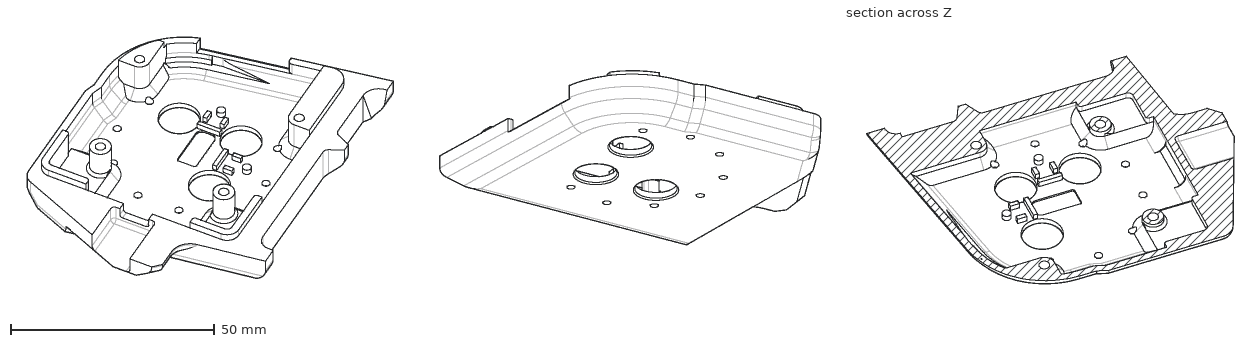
import cadquery as cq
import math

RIM_Z = 10.0
TOP_Z = 12.0
FLOOR_Z = 2.0
SHELF_Z = 4.35
OVER = 5.0

LEFT_X = -29.9
JOG_DEPTH = 0.95
JOG_TOP_Y = 2.4
JOG_BOTTOM_Y = -0.4
RIGHT_X = 36.1
BACK_Y = 37.0
BACK_SLOPE = math.tan(math.radians(9.6))
CORNER_R = 22.6
LEFT_CORNER_Y = -33.45
LEFT_CORNER_R = 3.5
FRONT_RIGHT_Y = -32.2
FRONT_SLOPE = math.tan(math.radians(8.3))
SLANT_SLOPE = -math.tan(math.radians(22.9))
WALL = 2.0

BEVEL = 5.0
BEVEL_BLEND_R = 3.9
FRONT_BEVEL = 3.0
FRONT_BLEND_R = 3.6
SLANT_FILLET_R = 4.0

TAIL_FRONT_Y = -46.67
TAIL_RIGHT_X = 14.05
TAIL_CORNER = 2.0
TAIL_BOTTOM_Z = 3.0
TAIL_BEVEL = 2.0
TAIL_NECK_R = 5.0

RECESS_X = 31.7
TOOTH_TOP_Y = 12.6
TOOTH_BOTTOM_Y = 10.6
TOOTH_ROOT_HALF = 3.2
TOOTH_ROOT_R = 1.5
FOOT_Y = -28.0
FOOT_R = 3.0
HEAD_Y = 33.5
HEAD_R = 4.3
HEAD_LOWER_R = 1.0

CAVITY_RIGHT_X = 26.2
CAVITY_FRONT_Y = -30.5
CAVITY_CORNER_R = 3.2
CAVITY_BACK_R = 4.0
SIDE_BEVEL = 3.8
SIDE_BLEND_R = 1.8
INNER_R = 3.0

POST_X = 17.05
POST_Y = -17.45
POST_D = 5.4
POST_FOOT = 0.75
PILLAR_X = 22.05
PILLAR_Y = 13.55
BOSS_R = 2.7
SCREW_D = 2.5
SCREW_DEPTH = 9.0
RIDGE_W = 1.9
RIDGE_END_R = 0.8
LEFT_PILLAR_END_Y = 21.5
RIDGE_LEFT_END_Y = -16.6

BIG_HOLE_D = 10.4
BIG_HOLE_CHAMFER = 0.4
BIG_HOLE_POS = 8.54
SMALL_HOLE_D = 2.0
SMALL_HOLES = [(17.7, 10.36), (20.55, -1.5), (16.05, -12.4), (5.65, -19.45)]
PIN_D = 2.2
PIN_OFFSET = 14.5
RIB_H = 1.5
RIB_W = 1.1
BAR_L = 6.3
BACK_BAR_POS = 8.1
RIGHT_BAR_POS = 7.2
BAR_TO_RIB = 2.25
SHORT_RIB_X = 2.4
SHORT_RIB_L = 2.4
RECESS_W = 5.2
RECESS_Y0 = -4.5
RECESS_Y1 = 7.5
RECESS_BACK_R = 1.8
RECESS_FRONT_R = 0.6
RECESS_DEPTH = 0.5

NOTCH_X0 = -12.9
NOTCH_X1 = 10.1
NOTCH_INNER_Y = 25.5
NOTCH_Z = 6.6
NOTCH_EDGE_W = 0.7
NOTCH_EDGE_DROP = 0.4
NOTCH_END_R = 1.0
POCKET_BACK_Y = 27.8
POCKET_INSET = 2.4
POCKET_STRAIGHT_X = -9.0
LEDGE_Z = 3.65

OUTLET_Z = 5.1
OUTLET_R = 1.0
POCKET_HALF_W = 6.0
WINDOW_HALF_W = 4.0
WINDOW_Z = 7.1
WINDOW_R = 0.75
CHANNEL_HALF_W = 6.4
CHANNEL_BEVEL = 1.5


def back_y(x, inset=0.0):
    """Y of the sloping back wall at a given X, moved inward by inset."""
    lowered = inset * math.hypot(1, BACK_SLOPE)
    return BACK_Y - (RIGHT_X - x) * BACK_SLOPE - lowered


def front_y(x):
    """Y of the sloping front edge of the main body at a given X."""
    return FRONT_RIGHT_Y - (RIGHT_X - x) * FRONT_SLOPE


def slant_y(x):
    """Y of the slanting front-left wall at a given X."""
    return LEFT_CORNER_Y + (x - LEFT_X) * SLANT_SLOPE


slant_end_x = (slant_y(0) - front_y(0)) / (FRONT_SLOPE - SLANT_SLOPE)
slant_end = (slant_end_x, front_y(slant_end_x))


def corner_center():
    """Center of the large back-left corner arc, which is tangent to both walls."""
    x = LEFT_X + JOG_DEPTH + CORNER_R
    return x, back_y(x, CORNER_R)


def corner_arc(inset):
    """Start, middle and end of the large back-left corner arc, moved inward by inset."""
    radius = CORNER_R - inset
    center_x, center_y = corner_center()
    end_angle = math.pi / 2 + math.atan(BACK_SLOPE)
    angles = (end_angle, (end_angle + math.pi) / 2, math.pi)
    return [(center_x + radius * math.cos(a), center_y + radius * math.sin(a)) for a in angles]


def left_side(sketch, inset):
    """Continue an outline over the corner arc and the jog in the left wall."""
    start, middle, end = corner_arc(inset)
    return (
        sketch.lineTo(*start)
        .threePointArc(middle, end)
        .lineTo(LEFT_X + JOG_DEPTH + inset, JOG_TOP_Y)
        .lineTo(LEFT_X + inset, JOG_BOTTOM_Y)
    )


def side_points(inset, z):
    """One point on each back and left edge of an outline that is moved inward by inset."""
    jog_x = LEFT_X + JOG_DEPTH / 2
    jog_y = (JOG_TOP_Y + JOG_BOTTOM_Y) / 2
    straight_y = (JOG_TOP_Y + corner_arc(inset)[2][1]) / 2
    return [
        (0, back_y(0, inset), z),
        (*corner_arc(inset)[1], z),
        (LEFT_X + JOG_DEPTH + inset, straight_y, z),
        (jog_x + inset, jog_y, z),
        (LEFT_X + inset, LEFT_CORNER_Y / 2, z),
    ]


def prism(points, z0, z1):
    """Upright prism over a closed polygon."""
    return cq.Workplane("XY").workplane(offset=z0).polyline(points).close().extrude(z1 - z0)


def block(x0, x1, y0, y1, z0, z1):
    """Box between the given limits."""
    return prism([(x0, y0), (x1, y0), (x1, y1), (x0, y1)], z0, z1)


def cylinder(x, y, diameter, z0, z1):
    """Upright cylinder."""
    return cq.Workplane("XY").workplane(offset=z0).center(x, y).circle(diameter / 2).extrude(z1 - z0)


def edges_near(solid, points):
    """For each given point, the edge of the solid that lies nearest to it."""
    picked = []
    for point in points:
        vertex = cq.Vertex.makeVertex(*point)
        picked.append(min(solid.edges().vals(), key=lambda edge: edge.distance(vertex)))
    return solid.newObject(picked)


def along_wall(profile, anchor, slope):
    """Long prism along a sloping wall; the profile (across, up) has its origin at the anchor point."""
    length = 2 * (RIGHT_X - LEFT_X)
    return (
        profile.extrude(length, both=True)
        .rotate((0, 0, 0), (0, 0, 1), math.degrees(math.atan(slope)))
        .translate((*anchor, 0))
    )


def front_bevel_cutter():
    """Prism that bevels the lower front edge of the main body along its sloping line."""
    profile = (
        cq.Workplane("YZ")
        .moveTo(FRONT_BEVEL + OVER, -OVER)
        .lineTo(-OVER, FRONT_BEVEL + OVER)
        .lineTo(-OVER, -OVER)
        .close()
    )
    return along_wall(profile, (RIGHT_X, FRONT_RIGHT_Y), FRONT_SLOPE)


def slant_fillet_cutter():
    """Prism that rounds the lower edge of the slanting front-left wall."""
    radius = SLANT_FILLET_R
    on_arc = radius * (1 - math.sin(math.pi / 4))
    profile = (
        cq.Workplane("YZ")
        .moveTo(radius, 0)
        .threePointArc((on_arc, on_arc), (0, radius))
        .lineTo(-OVER, radius)
        .lineTo(-OVER, -OVER)
        .lineTo(radius, -OVER)
        .close()
    )
    return along_wall(profile, (LEFT_X, LEFT_CORNER_Y), SLANT_SLOPE)


def main_body():
    """Solid block of the case with bevelled and blended lower edges."""
    body = (
        left_side(cq.Workplane("XY").moveTo(RIGHT_X, BACK_Y), 0)
        .lineTo(LEFT_X, LEFT_CORNER_Y)
        .lineTo(*slant_end)
        .lineTo(RIGHT_X, FRONT_RIGHT_Y)
        .close()
        .extrude(RIM_Z)
    )
    middle_x = (LEFT_X + RIGHT_X) / 2
    right_edge = (RIGHT_X, 0, 0)
    right_inner = (RIGHT_X - BEVEL, 0, 0)
    right_upper = (RIGHT_X, 0, BEVEL)
    body = edges_near(body, [right_edge] + side_points(0, 0)).chamfer(BEVEL)
    body = edges_near(body, [right_inner] + side_points(BEVEL, 0)).fillet(BEVEL_BLEND_R)
    body = edges_near(body, [right_upper] + side_points(0, BEVEL)).fillet(BEVEL_BLEND_R)
    half = BEVEL / 2
    body = edges_near(
        body,
        [
            (LEFT_X, LEFT_CORNER_Y, (BEVEL + RIM_Z) / 2),
            (LEFT_X + half, slant_y(LEFT_X + half), half),
        ],
    ).fillet(LEFT_CORNER_R)
    body = body.cut(slant_fillet_cutter())
    body = body.cut(front_bevel_cutter())
    front_edge = [(middle_x, front_y(middle_x), FRONT_BEVEL)]
    return edges_near(body, front_edge).fillet(FRONT_BLEND_R)


def tail():
    """Tongue that carries the cable outlet at the front."""
    flat_start_x = LEFT_X + (TAIL_FRONT_Y - LEFT_CORNER_Y) / SLANT_SLOPE
    inner_y = slant_end[1] + 2 * OVER
    neck_end_x = TAIL_RIGHT_X + TAIL_NECK_R * (1 - FRONT_SLOPE)
    neck_end_y = front_y(neck_end_x)
    neck_start_y = neck_end_y - TAIL_NECK_R
    neck_mid = (
        TAIL_RIGHT_X + TAIL_NECK_R * (1 - math.cos(math.pi / 4)),
        neck_start_y + TAIL_NECK_R * math.sin(math.pi / 4),
    )
    solid = (
        cq.Workplane("XY")
        .workplane(offset=TAIL_BOTTOM_Z)
        .moveTo(slant_end_x, inner_y)
        .lineTo(*slant_end)
        .lineTo(flat_start_x, TAIL_FRONT_Y)
        .lineTo(TAIL_RIGHT_X - TAIL_CORNER, TAIL_FRONT_Y)
        .lineTo(TAIL_RIGHT_X, TAIL_FRONT_Y + TAIL_CORNER)
        .lineTo(TAIL_RIGHT_X, neck_start_y)
        .threePointArc(neck_mid, (neck_end_x, neck_end_y))
        .lineTo(neck_end_x, inner_y)
        .close()
        .extrude(RIM_Z - TAIL_BOTTOM_Z)
    )
    slant_x = (slant_end_x + flat_start_x) / 2
    corner = TAIL_CORNER / 2
    right_middle_y = (TAIL_FRONT_Y + neck_start_y) / 2
    right_edges = [
        (TAIL_RIGHT_X - corner, TAIL_FRONT_Y + corner, TAIL_BOTTOM_Z),
        (TAIL_RIGHT_X, right_middle_y, TAIL_BOTTOM_Z),
        (*neck_mid, TAIL_BOTTOM_Z),
    ]
    front_edges = [
        (slant_x, slant_y(slant_x), TAIL_BOTTOM_Z),
        ((flat_start_x + TAIL_RIGHT_X) / 2 - BEVEL, TAIL_FRONT_Y, TAIL_BOTTOM_Z),
    ]
    upper_z = TAIL_BOTTOM_Z + BEVEL
    upper_edges = [(x, y, upper_z) for x, y, _ in right_edges]
    solid = edges_near(solid, right_edges).chamfer(BEVEL)
    solid = edges_near(solid, upper_edges).fillet(BEVEL_BLEND_R)
    return edges_near(solid, front_edges).chamfer(TAIL_BEVEL)


def side_recesses():
    """Cutters for the two recesses of the right side, above and below the pointed tooth."""
    outside = RIGHT_X + OVER
    middle_y = (TOOTH_TOP_Y + TOOTH_BOTTOM_Y) / 2
    diagonal = math.sin(math.pi / 4)
    foot_center_x = RECESS_X + FOOT_R
    lower = (
        cq.Workplane("XY")
        .moveTo(outside, FOOT_Y)
        .lineTo(foot_center_x, FOOT_Y)
        .threePointArc(
            (foot_center_x - FOOT_R * diagonal, FOOT_Y + FOOT_R * (1 - diagonal)),
            (RECESS_X, FOOT_Y + FOOT_R),
        )
        .lineTo(RECESS_X, middle_y - TOOTH_ROOT_HALF)
        .lineTo(RIGHT_X, TOOTH_BOTTOM_Y)
        .lineTo(outside, TOOTH_BOTTOM_Y)
        .close()
        .extrude(RIM_Z)
    )
    head_center_y = HEAD_Y - HEAD_R
    upper = (
        cq.Workplane("XY")
        .moveTo(outside, TOOTH_TOP_Y)
        .lineTo(RIGHT_X, TOOTH_TOP_Y)
        .lineTo(RECESS_X, middle_y + TOOTH_ROOT_HALF)
        .lineTo(RECESS_X, head_center_y)
        .lineTo(outside, head_center_y)
        .close()
        .extrude(RIM_Z)
    )
    roots = [(RECESS_X, middle_y + side * TOOTH_ROOT_HALF, RIM_Z / 2) for side in (-1, 1)]
    lower = edges_near(lower, roots[:1]).fillet(TOOTH_ROOT_R)
    upper = edges_near(upper, roots[1:]).fillet(TOOTH_ROOT_R)
    head_cone = cq.Solid.makeCone(
        HEAD_LOWER_R, HEAD_R, RIM_Z, pnt=cq.Vector(RECESS_X + HEAD_R, head_center_y, 0)
    )
    return lower.union(upper).union(cq.Workplane(head_cone))


def cavity_prism():
    """Straight-walled, sharp-cornered shape of the cavity, reaching above the part."""
    back_right = (CAVITY_RIGHT_X, back_y(CAVITY_RIGHT_X, WALL))
    return (
        left_side(cq.Workplane("XY").workplane(offset=FLOOR_Z).moveTo(*back_right), WALL)
        .lineTo(LEFT_X + WALL, CAVITY_FRONT_Y)
        .lineTo(CAVITY_RIGHT_X, CAVITY_FRONT_Y)
        .close()
        .extrude(TOP_Z + OVER - FLOOR_Z)
    )


def cavity_walls():
    """Straight-walled shape of the cavity with rounded corners."""
    front_corners = [(LEFT_X + WALL, CAVITY_FRONT_Y, RIM_Z), (CAVITY_RIGHT_X, CAVITY_FRONT_Y, RIM_Z)]
    back_corner = [(CAVITY_RIGHT_X, back_y(CAVITY_RIGHT_X, WALL), RIM_Z)]
    solid = edges_near(cavity_prism(), front_corners).fillet(CAVITY_CORNER_R)
    return edges_near(solid, back_corner).fillet(CAVITY_BACK_R)


def cavity():
    """Cavity with bevelled lower edges and rounded corners."""
    solid = cavity_prism()
    solid = edges_near(solid, side_points(WALL, FLOOR_Z)).chamfer(SIDE_BEVEL)
    solid = edges_near(solid, [(0, CAVITY_FRONT_Y, FLOOR_Z)]).fillet(INNER_R)
    solid = edges_near(solid, [(CAVITY_RIGHT_X, 0, FLOOR_Z)]).fillet(INNER_R)
    solid = edges_near(solid, side_points(WALL + SIDE_BEVEL, FLOOR_Z)).fillet(SIDE_BLEND_R)
    solid = edges_near(solid, side_points(WALL, FLOOR_Z + SIDE_BEVEL)).fillet(SIDE_BLEND_R)
    return solid.intersect(cavity_walls())


def flared_corner(x_range, y_range, corner, top_z):
    """Upright block with one rounded corner and a 45 degree flare down to the floor."""
    flare = SHELF_Z - FLOOR_Z
    x0, x1 = x_range
    y0, y1 = y_range
    upright = block(x0, x1, y0, y1, FLOOR_Z, top_z)
    upright = edges_near(upright, [(*corner, (FLOOR_Z + top_z) / 2)]).fillet(BOSS_R)
    foot = block(x0 - flare, x1 + flare, y0 - flare, y1 + flare, FLOOR_Z - OVER, SHELF_Z)
    corner_x = corner[0] + math.copysign(flare, corner[0] - (x0 + x1) / 2)
    corner_y = corner[1] + math.copysign(flare, corner[1] - (y0 + y1) / 2)
    foot = edges_near(foot, [(corner_x, corner_y, FLOOR_Z)]).fillet(BOSS_R + flare)
    foot = foot.faces(">Z").chamfer(flare)
    return upright.union(foot)


def post(x):
    """Screw post with a conical foot on a corner shelf."""
    radius = POST_D / 2
    foot = cq.Solid.makeCone(radius + POST_FOOT, radius, POST_FOOT, pnt=cq.Vector(x, POST_Y, SHELF_Z))
    edge_x = math.copysign(POST_X - BOSS_R, x)
    x0, x1 = sorted((edge_x, edge_x + math.copysign(2 * POST_D, x)))
    shelf_area = block(x0, x1, POST_Y - 2 * POST_D, POST_Y + BOSS_R, SHELF_Z, TOP_Z)
    shelf_area = edges_near(shelf_area, [(edge_x, POST_Y + BOSS_R, (SHELF_Z + TOP_Z) / 2)]).fillet(BOSS_R)
    trimmed_foot = cq.Workplane(foot).intersect(shelf_area)
    return cylinder(x, POST_Y, POST_D, FLOOR_Z, TOP_Z).union(trimmed_foot)


def ridge(wall_x, side, end_y):
    """L-shaped ridge along a front corner of the cavity; side is -1 on the left, 1 on the right."""
    end_x = side * (POST_X - BOSS_R)
    x0, x1 = sorted((wall_x, end_x))
    outer = block(x0, x1, CAVITY_FRONT_Y, end_y, FLOOR_Z, TOP_Z)
    inner_x = sorted((wall_x - side * RIDGE_W, end_x - side * OVER))
    inner = block(*inner_x, CAVITY_FRONT_Y + RIDGE_W, end_y + OVER, FLOOR_Z, TOP_Z)
    middle_z = (FLOOR_Z + TOP_Z) / 2
    inner_corner = (wall_x - side * RIDGE_W, CAVITY_FRONT_Y + RIDGE_W, middle_z)
    inner = edges_near(inner, [inner_corner]).fillet(CAVITY_CORNER_R - RIDGE_W)
    ends = [
        (wall_x - side * RIDGE_W, end_y, middle_z),
        (end_x, CAVITY_FRONT_Y + RIDGE_W, middle_z),
    ]
    return edges_near(outer.cut(inner), ends).fillet(RIDGE_END_R)


def cavity_fittings():
    """Shelves, posts, pillars and ridges that stand in the cavity, trimmed by its walls."""
    far_left = LEFT_X - OVER
    far_right = CAVITY_RIGHT_X + OVER
    far_front = CAVITY_FRONT_Y - OVER
    shelf_x = POST_X - BOSS_R
    shelf_y = POST_Y + BOSS_R
    pillar_x = PILLAR_X - BOSS_R
    pillar_y = PILLAR_Y - BOSS_R
    left_pillar_top = block(far_left, -pillar_x, pillar_y, LEFT_PILLAR_END_Y, FLOOR_Z, TOP_Z)
    left_pillar_top = edges_near(left_pillar_top, [(-pillar_x, pillar_y, RIM_Z)]).fillet(BOSS_R)
    fittings = [
        flared_corner((far_left, -shelf_x), (far_front, shelf_y), (-shelf_x, shelf_y), SHELF_Z),
        flared_corner((shelf_x, far_right), (far_front, shelf_y), (shelf_x, shelf_y), SHELF_Z),
        flared_corner((far_left, -pillar_x), (pillar_y, BACK_Y), (-pillar_x, pillar_y), RIM_Z),
        left_pillar_top,
        flared_corner((pillar_x, far_right), (pillar_y, BACK_Y), (pillar_x, pillar_y), TOP_Z),
        post(-POST_X),
        post(POST_X),
        ridge(LEFT_X + WALL, -1, RIDGE_LEFT_END_Y),
        ridge(CAVITY_RIGHT_X, 1, shelf_y),
    ]
    solid = fittings[0]
    for fitting in fittings[1:]:
        solid = solid.union(fitting)
    return solid.intersect(cavity())


def screw_holes():
    """Blind screw holes in the posts and pillars."""
    holes = cq.Workplane("XY")
    for x, y in ((POST_X, POST_Y), (PILLAR_X, PILLAR_Y)):
        for side in (-1, 1):
            holes = holes.union(cylinder(side * x, y, SCREW_D, TOP_Z - SCREW_DEPTH, TOP_Z))
    return holes


def back_notch():
    """Gap in the upper part of the sloping back wall."""
    solid = block(NOTCH_X0, NOTCH_X1, NOTCH_INNER_Y, BACK_Y, NOTCH_Z, RIM_Z)
    drop = (
        cq.Workplane("YZ")
        .moveTo(-NOTCH_EDGE_W, NOTCH_Z)
        .lineTo(0, NOTCH_Z - NOTCH_EDGE_DROP)
        .lineTo(NOTCH_EDGE_W, NOTCH_Z - NOTCH_EDGE_DROP)
        .lineTo(NOTCH_EDGE_W, NOTCH_Z)
        .close()
    )
    sloping_edge = along_wall(drop, (RIGHT_X, BACK_Y), BACK_SLOPE)
    span = block(NOTCH_X0, NOTCH_X1, NOTCH_INNER_Y, BACK_Y, 0, RIM_Z)
    return solid.union(sloping_edge.intersect(span))


def wall_pocket():
    """Flat-bottomed relief in the bevel below the back notch, with a round and a straight back wall."""
    left_x = BOSS_R - PILLAR_X
    solid = block(left_x, NOTCH_X1, LEFT_PILLAR_END_Y, POCKET_BACK_Y, LEDGE_Z, NOTCH_Z)
    round_limit = cylinder(*corner_center(), 2 * (CORNER_R - POCKET_INSET), 0, RIM_Z)
    straight_limit = block(POCKET_STRAIGHT_X, NOTCH_X1, LEFT_PILLAR_END_Y, BACK_Y, 0, RIM_Z)
    return solid.intersect(round_limit.union(straight_limit)).intersect(cavity_walls())


def cable_outlet():
    """Pocket in the tail, window through the front wall and channel inside the cavity."""
    top = RIM_Z + OVER
    wall_y = CAVITY_FRONT_Y - WALL
    pocket = block(-POCKET_HALF_W, POCKET_HALF_W, TAIL_FRONT_Y - OVER, wall_y, OUTLET_Z, top)
    pocket = pocket.edges("(<Z and (not <Y)) or (>Y and |Z)").fillet(OUTLET_R)
    window = block(-WINDOW_HALF_W, WINDOW_HALF_W, wall_y - WALL, CAVITY_FRONT_Y + WALL, WINDOW_Z, top)
    window = window.edges("<Z and |Y").fillet(WINDOW_R)
    channel_y1 = CAVITY_FRONT_Y + OVER
    channel = block(-CHANNEL_HALF_W, CHANNEL_HALF_W, CAVITY_FRONT_Y, channel_y1, FLOOR_Z, RIM_Z)
    channel = channel.edges("<Z and <Y").chamfer(CHANNEL_BEVEL)
    return pocket.union(window).union(channel)


def sensor_ribs(bar_y):
    """Pin, bar and two short ribs that stand on the floor on the back side of the sensor."""
    top = FLOOR_Z + RIB_H
    half_w = RIB_W / 2
    solid = block(-BAR_L / 2, BAR_L / 2, bar_y - half_w, bar_y + half_w, FLOOR_Z, top)
    solid = solid.union(cylinder(0, PIN_OFFSET, PIN_D, FLOOR_Z, top))
    rib_y0 = bar_y + BAR_TO_RIB
    for x in (-SHORT_RIB_X, SHORT_RIB_X):
        solid = solid.union(block(x - half_w, x + half_w, rib_y0, rib_y0 + SHORT_RIB_L, FLOOR_Z, top))
    return solid


def floor_holes():
    """Three large holes and the pattern of small holes through the floor."""
    depth = FLOOR_Z + RIB_H
    big = [(-BIG_HOLE_POS, BIG_HOLE_POS), (BIG_HOLE_POS, BIG_HOLE_POS), (BIG_HOLE_POS, -BIG_HOLE_POS)]
    holes = cq.Workplane("XY").pushPoints(big).circle(BIG_HOLE_D / 2).extrude(depth)
    wide_r = BIG_HOLE_D / 2 + BIG_HOLE_CHAMFER
    for x, y in big:
        cone = cq.Solid.makeCone(wide_r, BIG_HOLE_D / 2, BIG_HOLE_CHAMFER, pnt=cq.Vector(x, y, 0))
        holes = holes.union(cq.Workplane(cone))
    small = [(side * x, y) for x, y in SMALL_HOLES for side in (-1, 1)]
    return holes.union(
        cq.Workplane("XY").pushPoints(small).circle(SMALL_HOLE_D / 2).extrude(RIM_Z)
    )


def floor_recess():
    """Shallow long recess in the middle of the floor."""
    z0 = FLOOR_Z - RECESS_DEPTH
    solid = block(-RECESS_W / 2, RECESS_W / 2, RECESS_Y0, RECESS_Y1, z0, FLOOR_Z)
    solid = solid.edges("|Z and >Y").fillet(RECESS_BACK_R)
    return solid.edges("|Z and <Y").fillet(RECESS_FRONT_R)


def round_notch_end(solid):
    """Round the inner upright edge at the right end of the back notch."""
    upright_edge = (NOTCH_X1, back_y(NOTCH_X1, WALL), (NOTCH_Z + RIM_Z) / 2)
    return edges_near(solid, [upright_edge]).fillet(NOTCH_END_R)


case = (
    main_body()
    .union(tail())
    .cut(side_recesses())
    .cut(cavity())
    .union(cavity_fittings())
    .cut(back_notch())
    .cut(wall_pocket())
    .cut(cable_outlet())
    .union(sensor_ribs(BACK_BAR_POS))
    .union(sensor_ribs(RIGHT_BAR_POS).rotate((0, 0, 0), (0, 0, 1), -90))
    .cut(floor_holes())
    .cut(floor_recess())
    .cut(screw_holes())
)

result = round_notch_end(case)